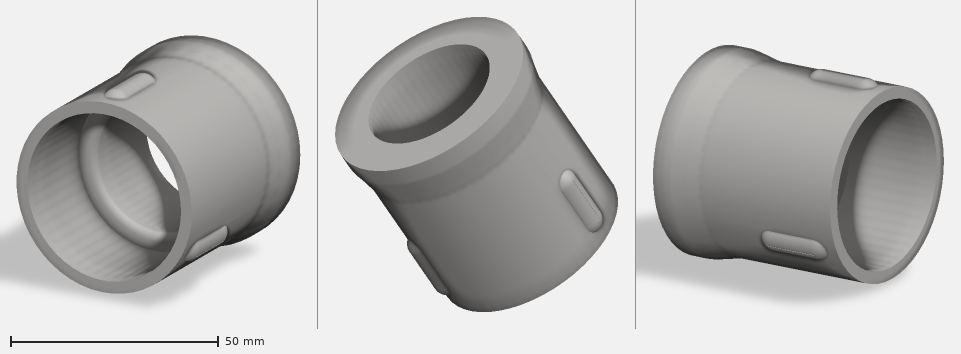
import cadquery as cq

length = 50.8
collar_radius = 25.9
tube_radius = 24.25
collar_length = 4.85
flare_length = 7.9
flare_blend_radius = 3.2

socket_radius = 21.25
bore_radius = 16.7
lip_round = 1.9
socket_depth = 25.4

rib_count = 3
rib_radius = 3.7
rib_crest_radius = 25.9
rib_front = 6.35
rib_straight_length = 12.7

groove_width = 0.6
groove_length = 13.65
groove_depth = 0.1


def cylinder_along_y(radius, start, height):
    origin = cq.Vector(0, start, 0)
    direction = cq.Vector(0, 1, 0)
    return cq.Workplane(cq.Solid.makeCylinder(radius, height, origin, direction))


def make_body():
    """Revolve the tube, flare and collar, blending both ends of the flare."""
    flare_back = length - collar_length
    flare_front = flare_back - flare_length
    profile = (
        cq.Workplane("XY")
        .polyline([
            (0, 0),
            (tube_radius, 0),
            (tube_radius, flare_front),
            (collar_radius, flare_back),
            (collar_radius, length),
            (0, length),
        ])
        .close()
    )
    body = profile.revolve(360, (0, 0, 0), (0, 1, 0))
    margin = 0.5
    flare_edges = cq.selectors.BoxSelector(
        (-length, flare_front - margin, -length),
        (length, flare_back + margin, length),
    )
    return body.edges("%CIRCLE").edges(flare_edges).fillet(flare_blend_radius)


def make_bore():
    """Socket and through bore, with a rounded lip where they meet."""
    socket = cylinder_along_y(socket_radius, 0, socket_depth)
    mouth_radius = bore_radius + lip_round
    lip = (
        cq.Workplane("XY")
        .moveTo(0, socket_depth)
        .lineTo(mouth_radius, socket_depth)
        .radiusArc((bore_radius, socket_depth + lip_round), lip_round)
        .lineTo(bore_radius, length)
        .lineTo(0, length)
        .close()
        .revolve(360, (0, 0, 0), (0, 1, 0))
    )
    return socket.union(lip)


def make_rib():
    """Round-ended bar on the +Z side with a groove along its crest."""
    axis_height = rib_crest_radius - rib_radius
    rib_back = rib_front + rib_straight_length
    rib = cylinder_along_y(rib_radius, rib_front, rib_straight_length).translate((0, 0, axis_height))
    for end in (rib_front, rib_back):
        rib = rib.union(cq.Workplane("XY").sphere(rib_radius).translate((0, end, axis_height)))
    groove = (
        cq.Workplane("XY")
        .box(groove_width, groove_length, 2 * groove_depth)
        .translate((0, (rib_front + rib_back) / 2, rib_crest_radius))
    )
    return rib.cut(groove)


result = make_body()
for index in range(rib_count):
    angle = index * 360 / rib_count
    result = result.union(make_rib().rotate((0, 0, 0), (0, 1, 0), angle))
result = result.cut(make_bore())